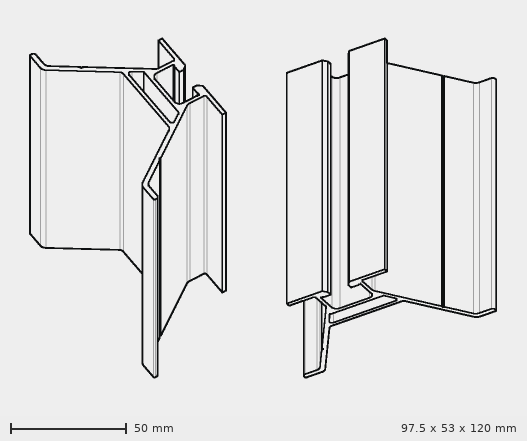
import cadquery as cq
import math

length = 120.0
base_width = 97.54
height = 53.0

flange_width = 50.0
flange_thickness = 2.0
slot_mouth_width = 10.4
slot_width = 20.2
slot_depth = 15.2
lip_depth = 4.3
lip_chamfer_width = 1.7
lip_chamfer_depth = 2.0
lip_relief_width = 1.0
lip_relief_depth = 0.25
wall_thickness = 1.8
flange_fillet = 0.8
slot_fillet = 2.5

leg_angle = math.radians(54.5)
leg_thickness = 2.4
leg_top_depth = 11.2
foot_thickness = 2.5
leg_bend_radius = 3.0
foot_tip_upper_radius = 1.25
foot_tip_lower_radius = 0.5

groove_depth = 0.6
groove_from_top = 37.9

upper_web_thickness = 1.8
lower_web_depth = 25.0
lower_web_thickness = 1.8
chamber_side_thickness = 1.9
chamber_fillet = 1.2
underside_fillet = 1.9

base_y = -height / 2
top_y = height / 2
chamber_top_y = top_y - slot_depth - upper_web_thickness
web_bottom_y = top_y - lower_web_depth
chamber_bottom_y = web_bottom_y + lower_web_thickness
foot_top_y = base_y + foot_thickness
leg_top_y = top_y - leg_top_depth
wall_x = slot_width / 2 + wall_thickness


def leg_outer_x(y):
    """Distance of the outer leg face from the mid-plane at height y."""
    return wall_x + (leg_top_y - y) / math.tan(leg_angle)


def leg_inner_x(y, thickness=leg_thickness):
    """Distance from the mid-plane, at height y, of the face that leaves the leg this thick."""
    return leg_outer_x(y) - thickness / math.sin(leg_angle)


def extrude_symmetric(half_outline):
    """Extrude the closed outline made of a +X half outline and its mirror image."""
    mirrored = [(-x, y) for x, y in reversed(half_outline)]
    return cq.Workplane("XY").polyline(half_outline + mirrored).close().extrude(length)


def round_edges(body, x, y, radius):
    """Round the two mirrored lengthwise edges at (+x, y) and (-x, y)."""
    for side in (1, -1):
        edge = cq.selectors.NearestToPointSelector((side * x, y, length / 2))
        body = body.edges("|Z").edges(edge).fillet(radius)
    return body


def make_profile():
    """Build the rail without its chamber and grooves: head, webs, legs and feet."""
    lip_x = slot_mouth_width / 2
    slot_x = slot_width / 2
    flange_bottom_y = top_y - flange_thickness
    lip_bottom_y = top_y - lip_depth
    slot_floor_y = top_y - slot_depth
    body = extrude_symmetric([
        (slot_x, slot_floor_y),
        (slot_x, lip_bottom_y + lip_relief_depth),
        (slot_x - lip_relief_width, lip_bottom_y + lip_relief_depth),
        (slot_x - lip_relief_width, lip_bottom_y),
        (lip_x, lip_bottom_y),
        (lip_x, top_y - lip_chamfer_depth),
        (lip_x + lip_chamfer_width, top_y),
        (flange_width / 2, top_y),
        (flange_width / 2, flange_bottom_y),
        (wall_x, flange_bottom_y),
        (wall_x, leg_top_y),
        (leg_outer_x(foot_top_y), foot_top_y),
        (base_width / 2, foot_top_y),
        (base_width / 2, base_y),
        (leg_inner_x(base_y), base_y),
        (leg_inner_x(web_bottom_y), web_bottom_y),
    ])
    body = round_edges(body, slot_x, slot_floor_y, slot_fillet)
    body = round_edges(body, wall_x, flange_bottom_y, flange_fillet)
    body = round_edges(body, wall_x, leg_top_y, leg_bend_radius)
    body = round_edges(body, leg_outer_x(foot_top_y), foot_top_y, leg_bend_radius)
    body = round_edges(body, leg_inner_x(base_y), base_y, leg_bend_radius)
    body = round_edges(body, leg_inner_x(web_bottom_y), web_bottom_y, underside_fillet)
    body = round_edges(body, base_width / 2, foot_top_y, foot_tip_upper_radius)
    return round_edges(body, base_width / 2, base_y, foot_tip_lower_radius)


def make_chamber():
    """Build the hollow between the webs, rounded at its two lower corners."""
    top_x = leg_inner_x(chamber_top_y, chamber_side_thickness)
    bottom_x = leg_inner_x(chamber_bottom_y, chamber_side_thickness)
    chamber = extrude_symmetric([(top_x, chamber_top_y), (bottom_x, chamber_bottom_y)])
    return round_edges(chamber, bottom_x, chamber_bottom_y, chamber_fillet)


def cut_grooves(body):
    """Cut a square bar, set on edge along each outer leg face, out of the body."""
    groove_y = top_y - groove_from_top
    bar_width = groove_depth * math.sqrt(2)
    on_edge_angle = 45
    for side in (1, -1):
        bar = (
            cq.Workplane("XY")
            .rect(bar_width, bar_width)
            .extrude(length)
            .rotate((0, 0, 0), (0, 0, 1), on_edge_angle - side * math.degrees(leg_angle))
            .translate((side * leg_outer_x(groove_y), groove_y, 0))
        )
        body = body.cut(bar)
    return body


result = cut_grooves(make_profile().cut(make_chamber()))